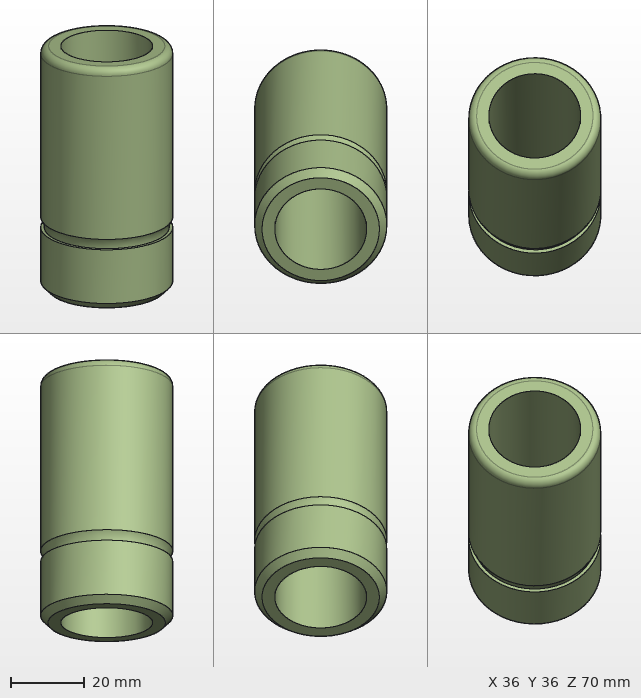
import cadquery as cq
import math

length = 70.0
outer_diameter = 36.0
bore_diameter = 25.0
outer_radius = outer_diameter / 2
bore_radius = bore_diameter / 2

chamfer_size = 2.0

top_round_radius = 2.2

groove_bottom = 17.6
groove_height = 3.0
groove_depth = 1.0
groove_radius = outer_radius - groove_depth
groove_top = groove_bottom + groove_height

flare_radius = (groove_height**2 + groove_depth**2) / (2 * groove_depth)
flare_half_angle = math.asin(groove_height / flare_radius) / 2


def sleeve_profile():
    """Half section of the sleeve wall in the XZ plane."""
    diagonal = math.sqrt(0.5)
    round_middle = (
        outer_radius - top_round_radius * (1 - diagonal),
        length - top_round_radius * (1 - diagonal),
    )
    flare_middle = (
        groove_radius + flare_radius * (1 - math.cos(flare_half_angle)),
        groove_bottom + flare_radius * math.sin(flare_half_angle),
    )
    return (
        cq.Workplane("XZ")
        .moveTo(bore_radius, 0)
        .lineTo(outer_radius - chamfer_size, 0)
        .lineTo(outer_radius, chamfer_size)
        .lineTo(outer_radius, groove_bottom)
        .lineTo(groove_radius, groove_bottom)
        .threePointArc(flare_middle, (outer_radius, groove_top))
        .lineTo(outer_radius, length - top_round_radius)
        .threePointArc(round_middle, (outer_radius - top_round_radius, length))
        .lineTo(bore_radius, length)
        .close()
    )


result = sleeve_profile().revolve(360, (0, 0, 0), (0, 1, 0))